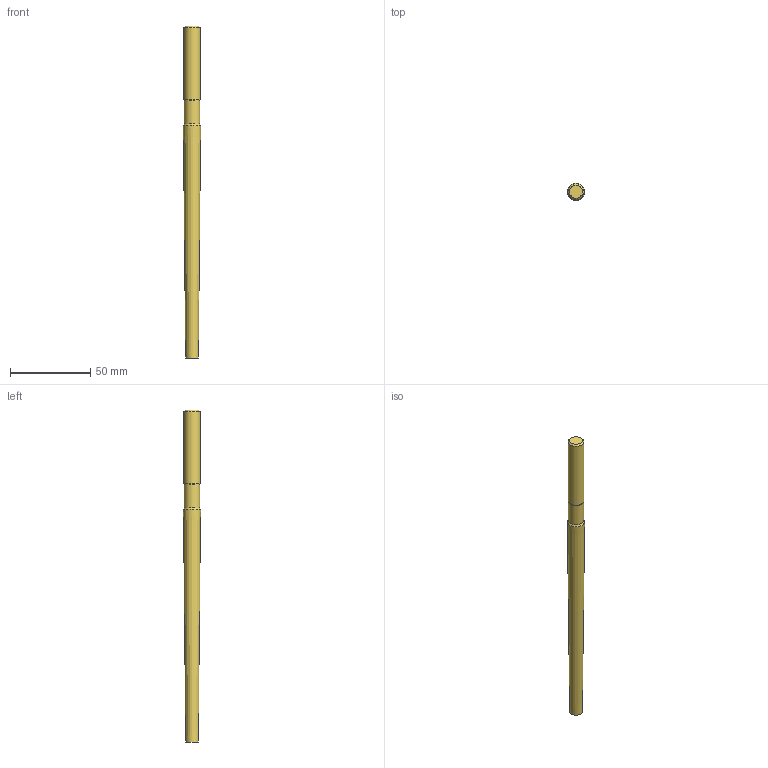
import cadquery as cq

TOTAL_LENGTH = 207.0

LARGE_END_DIAMETER = 10.8
TAPER_RATIO = 1 / 50
TAPER_LENGTH = 145.0

NECK_DIAMETER = 9.5
SHOULDER_BEVEL_HEIGHT = 1.0

HEAD_DIAMETER = 10.0
HEAD_LENGTH = 46.0
TOP_CHAMFER = 1.0

large_end_radius = LARGE_END_DIAMETER / 2
small_end_radius = (LARGE_END_DIAMETER - TAPER_LENGTH * TAPER_RATIO) / 2
neck_radius = NECK_DIAMETER / 2
head_radius = HEAD_DIAMETER / 2
head_top_radius = head_radius - TOP_CHAMFER

neck_bottom_z = TAPER_LENGTH + SHOULDER_BEVEL_HEIGHT
head_bottom_z = TOTAL_LENGTH - HEAD_LENGTH
neck_top_z = head_bottom_z - (head_radius - neck_radius)
top_chamfer_z = TOTAL_LENGTH - TOP_CHAMFER


def make_pin():
    """Revolve the half profile, drawn in the XZ plane, about the Z axis."""
    profile = (
        cq.Workplane("XZ")
        .moveTo(0, 0)
        .lineTo(small_end_radius, 0)
        .lineTo(large_end_radius, TAPER_LENGTH)
        .lineTo(neck_radius, neck_bottom_z)
        .lineTo(neck_radius, neck_top_z)
        .lineTo(head_radius, head_bottom_z)
        .lineTo(head_radius, top_chamfer_z)
        .lineTo(head_top_radius, TOTAL_LENGTH)
        .lineTo(0, TOTAL_LENGTH)
        .close()
    )
    return profile.revolve(360, (0, 0, 0), (0, 1, 0))


result = make_pin()